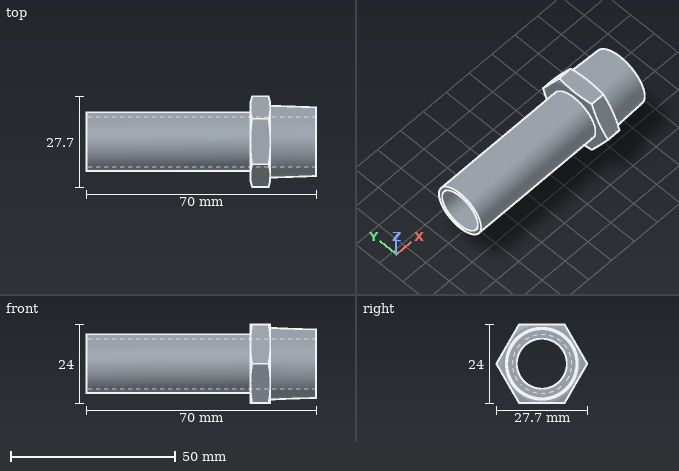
import cadquery as cq
import math

total_length = 70.0
hex_start = 50.0
hex_width = 6.0
hex_end = hex_start + hex_width

tube_diameter = 18.0
bore_diameter = 15.2
taper_large_diameter = 22.0
taper_small_diameter = 21.0

across_flats = 24.0
across_corners = across_flats / math.cos(math.radians(30))
chamfer_angle = 15.0


def revolve_about_x(profile):
    """Turn a closed (x, radius) outline into a solid around the X axis."""
    return cq.Workplane("XY").polyline(profile).close().revolve(360, (0, 0, 0), (1, 0, 0))


def tube():
    return cq.Workplane("YZ").circle(tube_diameter / 2).extrude(hex_end)


def hexagon():
    """Hexagon whose corners are turned off by a shallow cone at both ends."""
    prism = (
        cq.Workplane("YZ")
        .workplane(offset=hex_start)
        .polygon(6, across_corners)
        .extrude(hex_width)
    )
    face_radius = across_flats / 2
    corner_radius = across_corners / 2
    chamfer_depth = (corner_radius - face_radius) * math.tan(math.radians(chamfer_angle))
    envelope = revolve_about_x([
        (hex_start, 0),
        (hex_start, face_radius),
        (hex_start + chamfer_depth, corner_radius),
        (hex_end - chamfer_depth, corner_radius),
        (hex_end, face_radius),
        (hex_end, 0),
    ])
    return prism.intersect(envelope)


def tapered_end():
    return revolve_about_x([
        (hex_end, 0),
        (hex_end, taper_large_diameter / 2),
        (total_length, taper_small_diameter / 2),
        (total_length, 0),
    ])


def bore():
    return cq.Workplane("YZ").circle(bore_diameter / 2).extrude(total_length)


result = tube().union(hexagon()).union(tapered_end()).cut(bore())